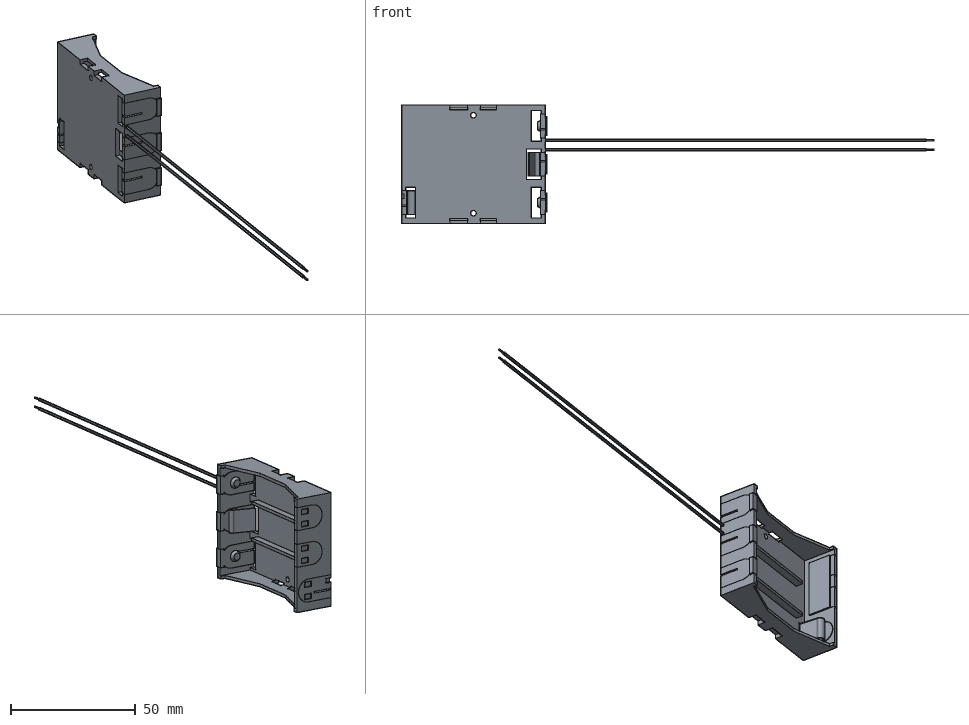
import cadquery as cq


LENGTH = 57.6
DEPTH = 16.5
HEIGHT = 47.5
FLOOR = 2.0
END_WALL = 1.7
SIDE_WALL = 1.3
SHOULDER_DEPTH = 14.5
WAIST_DEPTH = 9.2
SHOULDER_INSET = 2.3
WAIST_INSET = 19.6
CELL_PITCH = 15.4
CELL_AXIS_DEPTH = 9.2
DIVIDER_THICKNESS = 1.3
DIVIDER_DEPTH = 5.1
DIVIDER_INSET = 7.7
SIDE_SLOTS = ((19.5, 7.0), (31.5, 6.5))
SIDE_SLOT_DEPTH = 3.5
SIDE_SLOT_FLOOR_CUT = 2.0
SCREW_HOLE_DIAMETER = 2.1
SCREW_HOLE_OFFSET = 19.6
WINDOW_HEIGHT = 12.2
BUTTON_WINDOW_REACH = 5.5
RIGHT_SPRING_WINDOW_REACH = 7.5
LEFT_SPRING_WINDOW_REACH = 5.5

PLATE_WIDTH = 9.5
PLATE_RADIUS = PLATE_WIDTH / 2
PLATE_THICKNESS = 2.0
PLATE_ROUND_CENTER = 10.9
SLIT_WIDTH = 0.6
SLIT_DEPTH = 8.1
SLIT_OFFSET = 1.3
LIP_WIDTH = 7.7
LIP_START = 14.5
LIP_OVERHANG = 0.6
BUTTON_RADIUS = 2.3
BUTTON_TIP_RADIUS = 1.5
BUTTON_HEIGHT = 1.3
SPRING_THICKNESS = 0.5
SPRING_TOP = 12.8
SPRING_ROOT = 9.0
SPRING_TIP = 2.5
RIGHT_SPRING_RADIUS = 1.3
RIGHT_SPRING_LEAN = 2.3
LEFT_SPRING_RADIUS = 2.0
LEFT_SPRING_LEAN = 0.6
DIMPLE_LENGTH = 3.2
DIMPLE_WIDTH = 2.1
DIMPLE_FLOOR_SIDE_DEPTH = 0.6
DIMPLE_OPEN_SIDE_DEPTH = 0.2
DIMPLE_SPACING = 5.1
UPPER_DIMPLE_CENTER = 12.5
LOWER_DIMPLE_CENTER = 11.0
NOTCH_WIDTH = 2.0
NOTCH_DEPTH = 2.5
NOTCH_OFFSET = 2.5
NOTCH_RECESS = 1.0
BRIDGE_THICKNESS = 0.6

TOTAL_LENGTH = 213.4
WIRE_HEIGHTS = (5.8, 9.5)
WIRE_DEPTH = 1.0
WIRE_DIAMETER = 1.0
CONDUCTOR_DIAMETER = 0.6
STRIPPED_LENGTH = 3.2


def box(x0, x1, y0, y1, z0, z1):
    """Axis-aligned block between two corners."""
    return cq.Workplane("XY").box(x1 - x0, y1 - y0, z1 - z0, centered=False).translate((x0, y0, z0))


def centered_box(x0, x1, y0, y1, z_center, width):
    """Block whose Z extent is centred on z_center."""
    return box(x0, x1, y0, y1, z_center - width / 2, z_center + width / 2)


def round_plate(x0, x1, y_round, y_open, z_center):
    """Plate across X with a half-round end centred at y_round and a straight end at y_open."""
    disc = (
        cq.Workplane("YZ", origin=(x0, y_round, z_center)).circle(PLATE_RADIUS).extrude(x1 - x0)
    )
    low, high = sorted((y_round, y_open))
    return disc.union(centered_box(x0, x1, low, high, z_center, PLATE_WIDTH))


def mirror_ends(body):
    """Swap the left and right ends of the holder."""
    return body.mirror("YZ", (LENGTH / 2, 0, 0))


def lip(z_center):
    """Edge lip that hooks over the right end wall."""
    inner = LENGTH - PLATE_THICKNESS
    return centered_box(inner, LENGTH + LIP_OVERHANG, LIP_START, DEPTH, z_center, LIP_WIDTH)


def right_plate(z_center):
    """Outline of a right-hand contact, which is also its slot in the end wall."""
    plate = round_plate(LENGTH - PLATE_THICKNESS, LENGTH, PLATE_ROUND_CENTER, 0, z_center)
    return plate.union(lip(z_center))


def floor_window(x0, x1, z_center):
    """Opening through the floor in front of a contact."""
    return centered_box(x0, x1, 0, FLOOR, z_center, WINDOW_HEIGHT)


def make_housing():
    """Open tray with dividers, side slots, screw holes, floor windows and contact slots."""
    half = HEIGHT / 2
    body = (
        cq.Workplane("XY", origin=(0, 0, -half))
        .moveTo(0, 0)
        .lineTo(LENGTH, 0)
        .lineTo(LENGTH, DEPTH)
        .lineTo(LENGTH - SHOULDER_INSET, DEPTH)
        .lineTo(LENGTH - SHOULDER_INSET, SHOULDER_DEPTH)
        .lineTo(LENGTH - WAIST_INSET, WAIST_DEPTH)
        .lineTo(WAIST_INSET, WAIST_DEPTH)
        .lineTo(SHOULDER_INSET, SHOULDER_DEPTH)
        .lineTo(SHOULDER_INSET, DEPTH)
        .lineTo(0, DEPTH)
        .close()
        .extrude(HEIGHT)
    )
    inner_height = HEIGHT - 2 * SIDE_WALL
    body = body.cut(centered_box(END_WALL, LENGTH - END_WALL, FLOOR, DEPTH, 0, inner_height))

    for side in (-1, 1):
        body = body.union(
            centered_box(DIVIDER_INSET, LENGTH - DIVIDER_INSET, 0, DIVIDER_DEPTH,
                         side * CELL_PITCH / 2, DIVIDER_THICKNESS)
        )

    for side in (-1, 1):
        edge = side * half
        inner = side * (half - SIDE_SLOT_FLOOR_CUT)
        for start, length in SIDE_SLOTS:
            body = body.cut(
                box(start, start + length, 0, SIDE_SLOT_DEPTH, min(edge, inner), max(edge, inner))
            )

    for side in (-1, 1):
        hole = (
            cq.Workplane("XZ", origin=(LENGTH / 2, 0, side * SCREW_HOLE_OFFSET))
            .circle(SCREW_HOLE_DIAMETER / 2)
            .extrude(-FLOOR)
        )
        body = body.cut(hole)

    right_inner = LENGTH - END_WALL
    for z_center in (-CELL_PITCH, CELL_PITCH):
        body = body.cut(floor_window(LENGTH - BUTTON_WINDOW_REACH, right_inner, z_center))
    body = body.cut(floor_window(LENGTH - RIGHT_SPRING_WINDOW_REACH, right_inner, 0))
    body = body.cut(floor_window(END_WALL, LEFT_SPRING_WINDOW_REACH, -CELL_PITCH))

    for z_center in (-CELL_PITCH, 0, CELL_PITCH):
        body = body.cut(right_plate(z_center))
    body = body.cut(round_plate(0, PLATE_THICKNESS, PLATE_ROUND_CENTER, 0, -CELL_PITCH))
    for z_center in (0, CELL_PITCH):
        body = body.cut(round_plate(0, END_WALL, CELL_AXIS_DEPTH, DEPTH, z_center))
    return body


def leaf_spring(radius, lean, z_center):
    """Leaf arching off a left-hand plate, with a free leg that leans inward toward the floor."""
    root = PLATE_THICKNESS
    crown = root + radius
    far = root + 2 * radius
    spring_line = SPRING_TOP - radius
    inner_top = SPRING_TOP - SPRING_THICKNESS
    return (
        cq.Workplane("XY", origin=(0, 0, z_center - PLATE_WIDTH / 2))
        .moveTo(root, SPRING_ROOT)
        .lineTo(root, spring_line)
        .threePointArc((crown, SPRING_TOP), (far, spring_line))
        .lineTo(far + lean, SPRING_TIP)
        .lineTo(far + lean - SPRING_THICKNESS, SPRING_TIP)
        .lineTo(far - SPRING_THICKNESS, spring_line)
        .threePointArc((crown, inner_top), (root + SPRING_THICKNESS, spring_line))
        .lineTo(root + SPRING_THICKNESS, SPRING_ROOT)
        .close()
        .extrude(PLATE_WIDTH)
    )


def slit(x0, x1, z_center):
    """Narrow slit running in from the floor-side edge of a plate."""
    return centered_box(x0, x1, 0, SLIT_DEPTH, z_center, SLIT_WIDTH)


def dimple(y_center, z_center):
    """Rectangular dent in the outer face of a left-hand plate, with a floor that slopes along Y."""
    return (
        cq.Workplane("XY", origin=(0, y_center - DIMPLE_LENGTH / 2, z_center - DIMPLE_WIDTH / 2))
        .moveTo(0, 0)
        .lineTo(0, DIMPLE_LENGTH)
        .lineTo(DIMPLE_OPEN_SIDE_DEPTH, DIMPLE_LENGTH)
        .lineTo(DIMPLE_FLOOR_SIDE_DEPTH, 0)
        .close()
        .extrude(DIMPLE_WIDTH)
    )


def cut_dimples(body, y_center, z_center):
    """Press the pair of dimples into a left-hand plate."""
    for side in (-1, 1):
        body = body.cut(dimple(y_center, z_center + side * DIMPLE_SPACING / 2))
    return body


def make_button_contact(z_center, slit_side):
    """Right-hand contact with a conical button."""
    inner = LENGTH - PLATE_THICKNESS
    button = (
        cq.Workplane("YZ", origin=(inner, CELL_AXIS_DEPTH, z_center))
        .circle(BUTTON_RADIUS)
        .workplane(offset=-BUTTON_HEIGHT)
        .circle(BUTTON_TIP_RADIUS)
        .loft()
    )
    contact = right_plate(z_center).union(button)
    return contact.cut(slit(inner, LENGTH, z_center + slit_side * SLIT_OFFSET))


def make_right_spring_contact():
    """Right-hand contact of the middle cell, with a leaf spring."""
    spring = leaf_spring(RIGHT_SPRING_RADIUS, RIGHT_SPRING_LEAN, 0)
    plate = right_plate(0).cut(slit(LENGTH - PLATE_THICKNESS, LENGTH, SLIT_OFFSET))
    return plate.union(mirror_ends(spring))


def make_left_spring_contact():
    """Left-hand contact of the bottom cell, with a leaf spring."""
    z_center = -CELL_PITCH
    plate = round_plate(0, PLATE_THICKNESS, PLATE_ROUND_CENTER, 0, z_center)
    plate = plate.cut(slit(0, PLATE_THICKNESS, z_center - SLIT_OFFSET))
    plate = plate.cut(
        centered_box(0, NOTCH_RECESS, 0, NOTCH_DEPTH, z_center + NOTCH_OFFSET, NOTCH_WIDTH)
    )
    plate = cut_dimples(plate, LOWER_DIMPLE_CENTER, z_center)
    spring = leaf_spring(LEFT_SPRING_RADIUS, LEFT_SPRING_LEAN, z_center)
    return plate.union(spring)


def make_bridge_contact():
    """Left-hand contact joining the middle and top cells behind the end wall."""
    bridge = box(END_WALL, END_WALL + BRIDGE_THICKNESS, CELL_AXIS_DEPTH - PLATE_RADIUS, SHOULDER_DEPTH,
                 -PLATE_RADIUS, CELL_PITCH + PLATE_RADIUS)
    for z_center in (0, CELL_PITCH):
        bridge = bridge.union(round_plate(0, END_WALL, CELL_AXIS_DEPTH, DEPTH, z_center))
        bridge = cut_dimples(bridge, UPPER_DIMPLE_CENTER, z_center)
    return bridge


def rod(z_center, diameter, end):
    """Round rod from the right end face out to X = end."""
    return (
        cq.Workplane("YZ", origin=(LENGTH, WIRE_DEPTH, z_center)).circle(diameter / 2).extrude(end - LENGTH)
    )


def make_conductor(z_center):
    """Bare core of a wire."""
    return rod(z_center, CONDUCTOR_DIAMETER, TOTAL_LENGTH)


def make_insulation(z_center):
    """Sleeve around a core, stopping short of its tip."""
    sleeve = rod(z_center, WIRE_DIAMETER, TOTAL_LENGTH - STRIPPED_LENGTH)
    return sleeve.cut(make_conductor(z_center))


housing = make_housing()
top_button_contact = make_button_contact(CELL_PITCH, -1)
bottom_button_contact = make_button_contact(-CELL_PITCH, 1)
right_spring_contact = make_right_spring_contact()
left_spring_contact = make_left_spring_contact()
bridge_contact = make_bridge_contact()
conductors = [make_conductor(z) for z in WIRE_HEIGHTS]
insulations = [make_insulation(z) for z in WIRE_HEIGHTS]

result = cq.Compound.makeCompound([
    housing.val(),
    top_button_contact.val(),
    bottom_button_contact.val(),
    right_spring_contact.val(),
    left_spring_contact.val(),
    bridge_contact.val(),
    *[conductor.val() for conductor in conductors],
    *[insulation.val() for insulation in insulations],
])